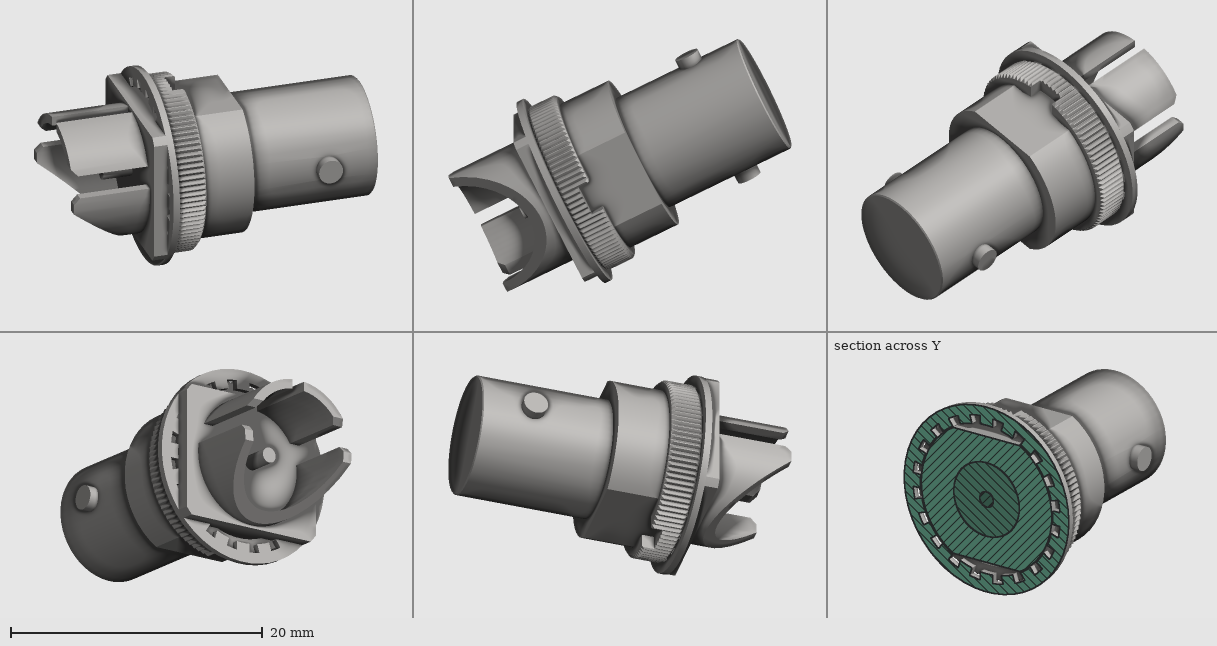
import cadquery as cq
import math


prong_length = 6.32
overall_length = 25.48
barrel_end = overall_length - prong_length
flange_thickness = 1.1
washer_thickness = 0.54
nut_thickness = 2.52
collar_length = 8.35
washer_start = flange_thickness
nut_start = washer_start + washer_thickness

collar_diameter = 12.7
collar_height = 10.9
barrel_diameter = 9.65
barrel_end_chamfer = 0.1
lug_diameter = 2.0
lug_span = 11.19
lug_setback = 4.18

prong_outer_diameter = 10.47
prong_inner_diameter = 8.92
upper_prong_gap = 1.12
upper_prong_bottom = 2.35
lower_prong_top = 0.64
prong_chamfer = 0.5
bevel_start = 0.75
bevel_end_height = -0.75

insulator_diameter = 6.3
contact_diameter = 1.25
contact_reach = 2.42

washer_diameter = 16.0
washer_tooth_count = 20
washer_tooth_width = 1.22
washer_root_diameter = 14.22
washer_tip_diameter = 12.8

nut_diameter = 14.37
nut_bore = 11.72
nut_chamfer = 0.23
knurl_count = 96
knurl_depth = 0.23
knurl_land = 0.05
spanner_slot_width = 2.5
spanner_slot_depth = 1.0


def disc(diameter, start, length):
    """Cylinder on the Y axis from `start` towards +Y."""
    return cq.Workplane("XZ", origin=(0, start, 0)).circle(diameter / 2).extrude(-length)


def plate(width, height, start, length):
    """Rectangular block centred on the Y axis from `start` towards +Y."""
    return cq.Workplane("XZ", origin=(0, start, 0)).rect(width, height).extrude(-length)


def make_collar():
    """Round collar with a flat at the top and the bottom."""
    round_collar = disc(collar_diameter, 0, collar_length)
    return round_collar.intersect(plate(collar_diameter, collar_height, 0, collar_length))


def make_flange():
    """Rectangular flange with corners rounded to the washer diameter."""
    block = plate(collar_diameter, collar_height, 0, flange_thickness)
    return block.intersect(disc(washer_diameter, 0, flange_thickness))


def make_barrel():
    """Bayonet barrel with its two lugs."""
    barrel = disc(barrel_diameter, collar_length, barrel_end - collar_length)
    barrel = barrel.faces(">Y").chamfer(barrel_end_chamfer)
    lugs = (
        cq.Workplane("YZ", origin=(0, barrel_end - lug_setback, 0))
        .circle(lug_diameter / 2)
        .extrude(lug_span / 2, both=True)
    )
    return barrel.union(lugs)


def make_prongs():
    """Slotted sleeve: two short prongs above, a bevelled cradle below."""
    outer_radius = prong_outer_diameter / 2
    sleeve = disc(prong_outer_diameter, -prong_length, prong_length)
    sleeve = sleeve.cut(disc(prong_inner_diameter, -prong_length, prong_length))
    upper_profile = [
        (0, upper_prong_bottom),
        (-prong_length + prong_chamfer, upper_prong_bottom),
        (-prong_length, upper_prong_bottom + prong_chamfer),
        (-prong_length, outer_radius),
        (0, outer_radius),
    ]
    lower_profile = [
        (0, lower_prong_top),
        (-prong_length + prong_chamfer, lower_prong_top),
        (-prong_length, lower_prong_top - prong_chamfer),
        (-prong_length, bevel_end_height),
        (-bevel_start, -outer_radius),
        (0, -outer_radius),
    ]
    upper_block = cq.Workplane("YZ").polyline(upper_profile).close().extrude(outer_radius, both=True)
    lower_block = cq.Workplane("YZ").polyline(lower_profile).close().extrude(outer_radius, both=True)
    upper_gap = (
        cq.Workplane("XY")
        .box(upper_prong_gap, prong_length, outer_radius, centered=(True, False, False))
        .translate((0, -prong_length, 0))
    )
    upper_prongs = sleeve.intersect(upper_block).cut(upper_gap)
    lower_cradle = sleeve.intersect(lower_block)
    return upper_prongs, lower_cradle


def make_housing():
    """Collar, flange, barrel and prongs in one piece, with the bore for the insulator."""
    upper_prongs, lower_cradle = make_prongs()
    solid_housing = (
        make_collar()
        .union(make_flange())
        .union(make_barrel())
        .union(upper_prongs)
        .union(lower_cradle)
    )
    return solid_housing.cut(disc(insulator_diameter, 0, collar_length))


def make_insulator():
    """Sleeve flush with the flange face, bored for the contact."""
    sleeve = disc(insulator_diameter, 0, collar_length)
    return sleeve.cut(disc(contact_diameter, 0, collar_length))


def make_contact():
    """Plain round pin reaching forward between the prongs."""
    return disc(contact_diameter, -contact_reach, contact_reach + collar_length)


def make_washer():
    """Flat ring with evenly spaced parallel-sided teeth on its inner edge."""
    ring = disc(washer_diameter, washer_start, washer_thickness)
    ring = ring.cut(disc(washer_root_diameter, washer_start, washer_thickness))
    tooth_reach = (washer_root_diameter + washer_diameter) / 4
    for index in range(washer_tooth_count):
        tooth = (
            cq.Workplane("XY")
            .box(washer_tooth_width, washer_thickness, tooth_reach, centered=(True, False, False))
            .translate((0, washer_start, 0))
            .rotate((0, 0, 0), (0, 1, 0), index * 360 / washer_tooth_count)
        )
        tooth = tooth.cut(disc(washer_tip_diameter, washer_start, washer_thickness))
        ring = ring.union(tooth)
    return ring


def knurl_outline():
    """Corner points of the knurled rim: V grooves with a narrow land on each crest and root."""
    crest_radius = nut_diameter / 2
    root_radius = crest_radius - knurl_depth
    half_land_angle = knurl_land / nut_diameter
    points = []
    for index in range(2 * knurl_count):
        radius = crest_radius if index % 2 == 0 else root_radius
        middle_angle = math.pi * index / knurl_count
        for angle in (middle_angle - half_land_angle, middle_angle + half_land_angle):
            points.append((radius * math.cos(angle), radius * math.sin(angle)))
    return points


def make_nut():
    """Ring nut fitted to the collar, with a knurled rim and two spanner slots in its rear face."""
    knurled_rim = cq.Workplane("XZ", origin=(0, nut_start, 0)).polyline(knurl_outline()).close()
    blank = knurled_rim.extrude(-nut_thickness)
    envelope = disc(nut_diameter, nut_start, nut_thickness).faces("<Y or >Y").chamfer(nut_chamfer)
    slot_start = nut_start + nut_thickness - spanner_slot_depth
    return (
        blank.intersect(envelope)
        .cut(plate(spanner_slot_width, nut_diameter, slot_start, spanner_slot_depth))
        .cut(disc(nut_bore, nut_start, nut_thickness))
        .cut(make_collar())
    )


housing = make_housing()
insulator = make_insulator()
contact = make_contact()
washer = make_washer()
nut = make_nut()

result = cq.Compound.makeCompound(
    [housing.val(), insulator.val(), contact.val(), washer.val(), nut.val()]
)